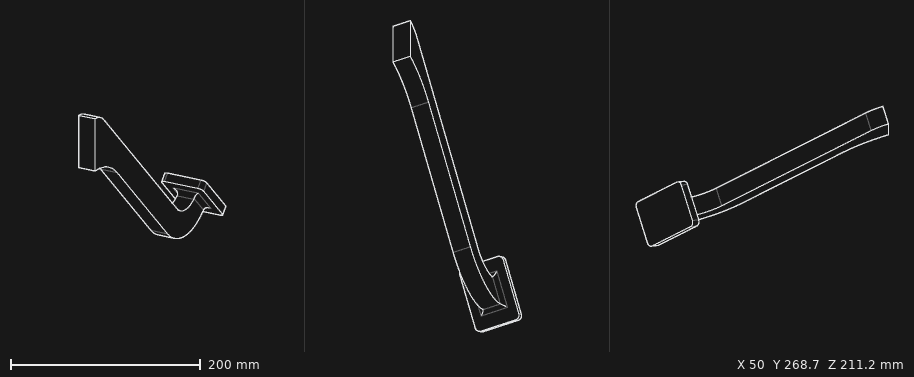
import cadquery as cq
import math

total_length = 268.7
total_height = 211.2

arm_width = 20.0
wall_height = 60.0
inner_bend_radius = 30.0
outer_bend_radius = 60.0

plate_width = 50.0
plate_length = 70.0
plate_thickness = 10.0
corner_radius = 5.0
root_fillet = 5.0

DIAGONAL = math.sqrt(0.5)

bar_middle_radius = (inner_bend_radius + outer_bend_radius) / 2
plate_reach = bar_middle_radius + plate_length / 2
bend_y = total_length - (plate_reach + plate_thickness) * DIAGONAL
bend_z = outer_bend_radius


def bend_point(radius, angle):
    """Point (Y, Z) on the bend, with the angle in degrees from +Y."""
    turn = math.radians(angle)
    return (bend_y + radius * math.cos(turn), bend_z + radius * math.sin(turn))


def wall_arc(bend_radius, wall_z):
    """Start, middle and end of the arc easing the slope level at the wall."""
    slope_wall_z = bend_y + bend_z - bend_radius / DIAGONAL
    radius = (slope_wall_z - wall_z) / math.tan(math.radians(22.5))
    center_z = wall_z - radius

    def arc_point(angle):
        turn = math.radians(angle)
        return (radius * math.sin(turn), center_z + radius * math.cos(turn))

    return arc_point(45), arc_point(22.5), arc_point(0)


def make_arm():
    top_start, top_middle, top_end = wall_arc(inner_bend_radius, total_height)
    low_start, low_middle, low_end = wall_arc(outer_bend_radius, total_height - wall_height)
    return (
        cq.Workplane("YZ")
        .moveTo(*top_end)
        .threePointArc(top_middle, top_start)
        .lineTo(*bend_point(inner_bend_radius, 225))
        .threePointArc(bend_point(inner_bend_radius, 270), bend_point(inner_bend_radius, 315))
        .lineTo(*bend_point(outer_bend_radius, 315))
        .threePointArc(bend_point(outer_bend_radius, 270), bend_point(outer_bend_radius, 225))
        .lineTo(*low_start)
        .threePointArc(low_middle, low_end)
        .close()
        .extrude(arm_width / 2, both=True)
    )


plate_y, plate_z = bend_point(bar_middle_radius, 315)
plate_plane = cq.Plane(
    origin=(0, plate_y, plate_z),
    xDir=(-1, 0, 0),
    normal=(0, DIAGONAL, DIAGONAL),
)


def make_plate():
    return (
        cq.Workplane(plate_plane)
        .rect(plate_width, plate_length)
        .extrude(plate_thickness)
        .edges(cq.selectors.ParallelDirSelector(plate_plane.zDir))
        .fillet(corner_radius)
    )


def fillet_root(body):
    """Round the four edges where the bar meets the plate underside."""
    bar_thickness = outer_bend_radius - inner_bend_radius
    flat_tolerance = 0.03
    margin = 1.3

    def is_root_edge(edge):
        middle = plate_plane.toLocalCoords(edge.Center())
        return (
            abs(middle.z) < flat_tolerance
            and abs(middle.x) < arm_width / 2 + margin
            and abs(middle.y) < bar_thickness / 2 + margin
        )

    root_edges = [edge for edge in body.edges().vals() if is_root_edge(edge)]
    return body.newObject(root_edges).fillet(root_fillet)


result = fillet_root(make_arm().union(make_plate()))